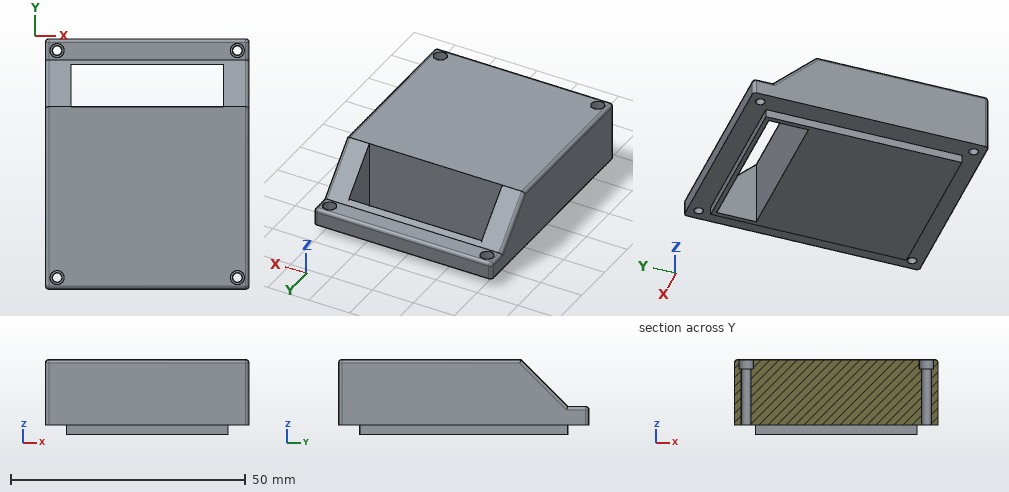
import cadquery as cq

width = 43.5
length = 53.5
body_height = 14.0
ledge_height = 4.0
border = 4.5
slope_run = body_height - ledge_height
edge_radius = 0.75

plug_depth = 2.0
plug_wall = 1.0

hole_diameter = 2.0
counterbore_diameter = 3.0
counterbore_depth = 2.0
hole_inset = 2.5

back_y = length / 2
slope_foot_y = back_y - border
slope_top_y = slope_foot_y - slope_run


def make_body():
    """Block with a low ledge and a slope, rounded along its corners and top outline."""
    profile = [
        (-back_y, 0),
        (back_y, 0),
        (back_y, ledge_height),
        (slope_foot_y, ledge_height),
        (slope_top_y, body_height),
        (-back_y, body_height),
    ]
    body = cq.Workplane("YZ").polyline(profile).close().extrude(width / 2, both=True)
    outer_faces = body.faces("<X or >X or <Y or >Y")
    return outer_faces.edges("not(<Z)").fillet(edge_radius)


def make_plug():
    """Shallow rectangular plug on the underside."""
    return cq.Workplane("XY").rect(width - 2 * border, length - 2 * border).extrude(-plug_depth)


def make_window():
    """Rectangular opening through the slope and the plug, ending at the slope's top edge."""
    window_width = width - 2 * (border + plug_wall)
    window_back_y = slope_foot_y - plug_wall
    window_length = window_back_y - slope_top_y
    return (
        cq.Workplane("XY", origin=(0, window_back_y - window_length / 2, -plug_depth))
        .rect(window_width, window_length)
        .extrude(plug_depth + body_height)
    )


def make_screw_hole(x, y, surface_z):
    """Through hole with a counterbore sunk from the surface above it."""
    hole = cq.Workplane("XY", origin=(x, y, 0)).circle(hole_diameter / 2).extrude(surface_z)
    counterbore = (
        cq.Workplane("XY", origin=(x, y, surface_z))
        .circle(counterbore_diameter / 2)
        .extrude(-counterbore_depth)
    )
    return hole.union(counterbore)


result = make_body().union(make_plug()).cut(make_window())

hole_x = width / 2 - hole_inset
hole_y = back_y - hole_inset
for x in (-hole_x, hole_x):
    for y, surface_z in ((-hole_y, body_height), (hole_y, ledge_height)):
        result = result.cut(make_screw_hole(x, y, surface_z))